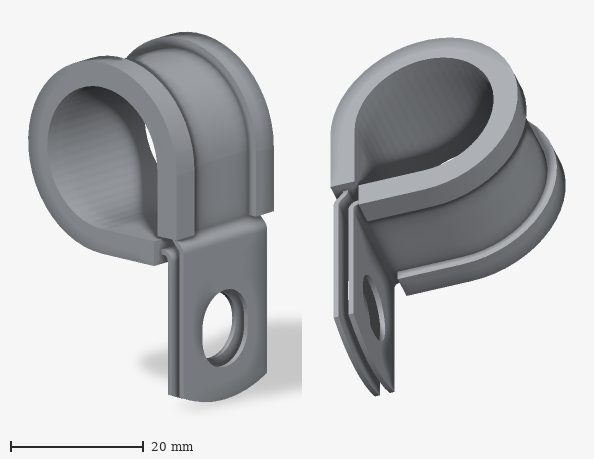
import cadquery as cq
import math

loop_diameter = 29.95
cushion_thickness = 3.85
cushion_width = 22.1
rim_width = 4.1
groove_depth = 1.5
lower_leg_end = 10.45
side_leg_end = 10.15

strap_thickness = 0.8
strap_width = 19.0
bend_inner_radius = 0.8
jog_angle = math.radians(45)
inner_tab_middle = 12.25

overall_height = 52.25
tab_crown = 2.15
hole_diameter = 10.3
hole_drop = 26.2
slot_length = 12.05

outer_radius = loop_diameter / 2
bore_radius = outer_radius - cushion_thickness
groove_radius = outer_radius - groove_depth
groove_width = cushion_width - 2 * rim_width
strap_radius = groove_radius - strap_thickness / 2
bend_radius = bend_inner_radius + strap_thickness / 2
outer_tab_middle = outer_radius - strap_thickness / 2
tab_bottom = outer_radius - overall_height


def loop_prism(radius, width):
    """Three-quarter round body whose lower corner is square."""
    return (
        cq.Workplane("XZ")
        .moveTo(0, -radius)
        .threePointArc((-radius * math.sqrt(0.5), radius * math.sqrt(0.5)), (radius, 0))
        .lineTo(radius, -radius)
        .close()
        .extrude(width / 2, both=True)
    )


def make_cushion():
    outside = loop_prism(outer_radius, cushion_width)
    groove = outside.cut(loop_prism(groove_radius, cushion_width))
    band = cq.Workplane("XY").box(2 * loop_diameter, groove_width, 2 * loop_diameter)
    cushion = outside.cut(loop_prism(bore_radius, cushion_width)).cut(groove.intersect(band))
    corner = (
        cq.Workplane("XZ")
        .moveTo(lower_leg_end, -side_leg_end)
        .lineTo(outer_radius, -side_leg_end)
        .lineTo(outer_radius, -outer_radius)
        .lineTo(lower_leg_end, -outer_radius)
        .close()
        .extrude(cushion_width / 2, both=True)
    )
    return cushion.cut(corner)


def strap_path():
    """Middle line of the strap, from the inner tab end round the loop to the outer tab end."""
    diagonal = math.sqrt(0.5)
    bend_shift = bend_radius * (1 - math.cos(jog_angle))
    bend_drop = bend_radius * math.sin(jog_angle)
    slope_start = (strap_radius + bend_shift, -side_leg_end - bend_drop)
    slope_end_x = outer_tab_middle - bend_shift
    slope_drop = (slope_end_x - slope_start[0]) / math.tan(jog_angle)
    slope_end = (slope_end_x, slope_start[1] - slope_drop)
    return (
        cq.Workplane("XZ")
        .moveTo(inner_tab_middle, tab_bottom)
        .lineTo(inner_tab_middle, -strap_radius - bend_radius)
        .tangentArcPoint((inner_tab_middle - bend_radius, -strap_radius), relative=False)
        .lineTo(0, -strap_radius)
        .threePointArc((-strap_radius * diagonal, strap_radius * diagonal), (strap_radius, 0))
        .lineTo(strap_radius, -side_leg_end)
        .tangentArcPoint(slope_start, relative=False)
        .lineTo(*slope_end)
        .tangentArcPoint((outer_tab_middle, slope_end[1] - bend_drop), relative=False)
        .lineTo(outer_tab_middle, tab_bottom)
    )


def make_strap():
    strap = (
        cq.Workplane("XY", origin=(inner_tab_middle, 0, tab_bottom))
        .rect(strap_thickness, strap_width)
        .sweep(strap_path())
    )
    half_width = strap_width / 2
    outline = (
        cq.Workplane("YZ")
        .moveTo(-half_width, outer_radius)
        .lineTo(-half_width, tab_bottom + tab_crown)
        .threePointArc((0, tab_bottom), (half_width, tab_bottom + tab_crown))
        .lineTo(half_width, outer_radius)
        .close()
        .extrude(loop_diameter, both=True)
    )
    tab_gap_middle = (inner_tab_middle + outer_tab_middle) / 2
    hole = (
        cq.Workplane("YZ")
        .center(0, -hole_drop)
        .circle(hole_diameter / 2)
        .extrude(tab_gap_middle)
    )
    slot = (
        cq.Workplane("YZ", origin=(tab_gap_middle, 0, -hole_drop))
        .slot2D(slot_length, hole_diameter, 90)
        .extrude(loop_diameter)
    )
    return strap.intersect(outline).cut(hole).cut(slot)


result = make_cushion().union(make_strap())